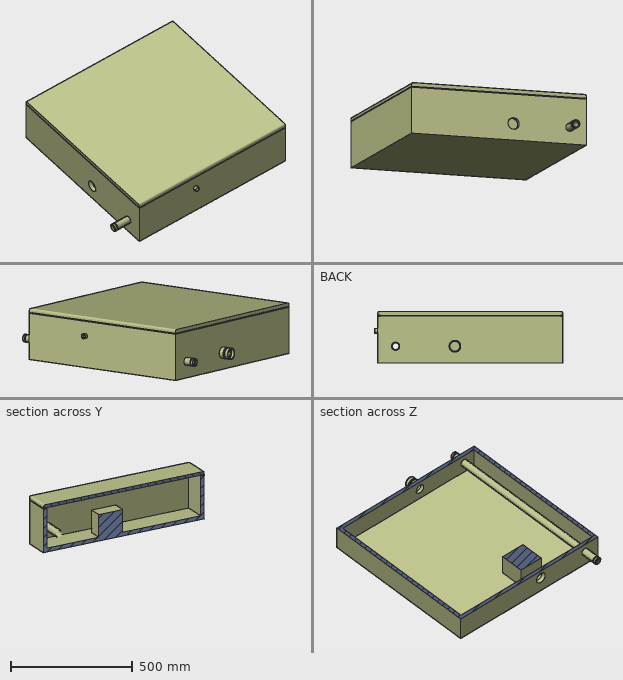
import cadquery as cq

box_side = 762.0
overall_height = 212.85
wall = 19.05

lid_thickness = 16.1
lid_edge_radius = 7.9
gap_height = 2.9
gap_depth = wall / 2
housing_height = overall_height - lid_thickness
rim_height = housing_height - gap_height

half_side = box_side / 2
inner_face = half_side - wall

pipe_height = 69.85
supply_x = half_side - 73.6
outlet_x = half_side - 317.5
vent_y = -half_side + 292.1
vent_height = 133.0

overall_width = 774.7
overall_depth = 884.68
rear_reach = 43.3
front_reach = overall_depth - box_side - rear_reach
vent_reach = overall_width - box_side

supply_diameter = 33.4
supply_bore = 26.67
supply_groove_diameter = 30.2
supply_groove_setback = 10.0
supply_groove_width = 3.2

outlet_diameter = 48.26
outlet_bore = 40.89
outlet_groove_diameter = 45.06
outlet_groove_setback = 15.88
outlet_groove_width = 7.14

groove_margin = 1.0

vent_diameter = 21.34
vent_bore = 15.75

pedestal_side = 114.0
pedestal_height = 100.0
pedestal_clearance = 40.0


def rod_y(x, z, y_start, y_end, diameter):
    """Round bar along Y from y_start to y_end."""
    section = cq.Workplane("XZ", origin=(x, y_start, z)).circle(diameter / 2)
    return section.extrude(y_start - y_end)


def rod_x(y, z, x_start, x_end, diameter):
    """Round bar along X from x_start to x_end."""
    section = cq.Workplane("YZ", origin=(x_start, y, z)).circle(diameter / 2)
    return section.extrude(x_end - x_start)


def groove_y(x, z, y_start, y_end, pipe_diameter, groove_diameter):
    """Ring to remove from a pipe along Y."""
    ring = rod_y(x, z, y_start, y_end, pipe_diameter + groove_margin)
    return ring.cut(rod_y(x, z, y_start, y_end, groove_diameter))


def make_shell():
    """Open-topped box whose walls end in a lip, set in from the rim, that carries the lid."""
    shell = cq.Workplane("XY").box(box_side, box_side, rim_height, centered=(True, True, False))
    lip_side = box_side - 2 * gap_depth
    shell = shell.faces(">Z").workplane().rect(lip_side, lip_side).extrude(gap_height)
    cavity_side = 2 * inner_face
    cavity = cq.Workplane("XY", origin=(0, 0, wall)).rect(cavity_side, cavity_side)
    return shell.cut(cavity.extrude(housing_height - wall))


def add_pedestal(body):
    """Square pedestal in line with the front port."""
    center_y = -inner_face + pedestal_clearance + pedestal_side / 2
    pedestal = cq.Workplane("XY", origin=(outlet_x, center_y, wall))
    pedestal = pedestal.rect(pedestal_side, pedestal_side).extrude(pedestal_height)
    return body.union(pedestal)


def add_supply_pipe(body):
    """Open pipe through the housing, grooved near its front and rear ends."""
    front_end = -half_side - front_reach
    rear_end = half_side + rear_reach
    body = body.union(rod_y(supply_x, pipe_height, front_end, rear_end, supply_diameter))
    for end, inward in ((front_end, 1), (rear_end, -1)):
        start = end + inward * supply_groove_setback
        stop = start + inward * supply_groove_width
        body = body.cut(
            groove_y(supply_x, pipe_height, start, stop, supply_diameter, supply_groove_diameter)
        )
    return body.cut(rod_y(supply_x, pipe_height, front_end, rear_end, supply_bore))


def add_outlet_stub(body):
    """Grooved rear stub, its bore opening through the rear wall."""
    end = half_side + rear_reach
    body = body.union(rod_y(outlet_x, pipe_height, inner_face, end, outlet_diameter))
    start = end - outlet_groove_setback
    stop = start - outlet_groove_width
    body = body.cut(
        groove_y(outlet_x, pipe_height, start, stop, outlet_diameter, outlet_groove_diameter)
    )
    return body.cut(rod_y(outlet_x, pipe_height, inner_face, end, outlet_bore))


def cut_front_port(body):
    """Plain round port through the front wall, in line with the outlet stub."""
    return body.cut(rod_y(outlet_x, pipe_height, -half_side, -inner_face, outlet_diameter))


def add_vent_stub(body):
    """Short plain stub, its bore opening through the +X wall."""
    end = half_side + vent_reach
    body = body.union(rod_x(vent_y, vent_height, inner_face, end, vent_diameter))
    return body.cut(rod_x(vent_y, vent_height, inner_face, end, vent_bore))


def make_housing():
    body = make_shell()
    body = add_pedestal(body)
    body = add_supply_pipe(body)
    body = add_outlet_stub(body)
    body = cut_front_port(body)
    return add_vent_stub(body)


def make_lid():
    """Flat lid, flush with the housing sides, rounded along its two upper Y edges."""
    plate = cq.Workplane("XY", origin=(0, 0, housing_height))
    plate = plate.box(box_side, box_side, lid_thickness, centered=(True, True, False))
    return plate.faces(">Z").edges("|Y").fillet(lid_edge_radius)


housing = make_housing()
lid = make_lid()

result = cq.Compound.makeCompound([housing.val(), lid.val()])